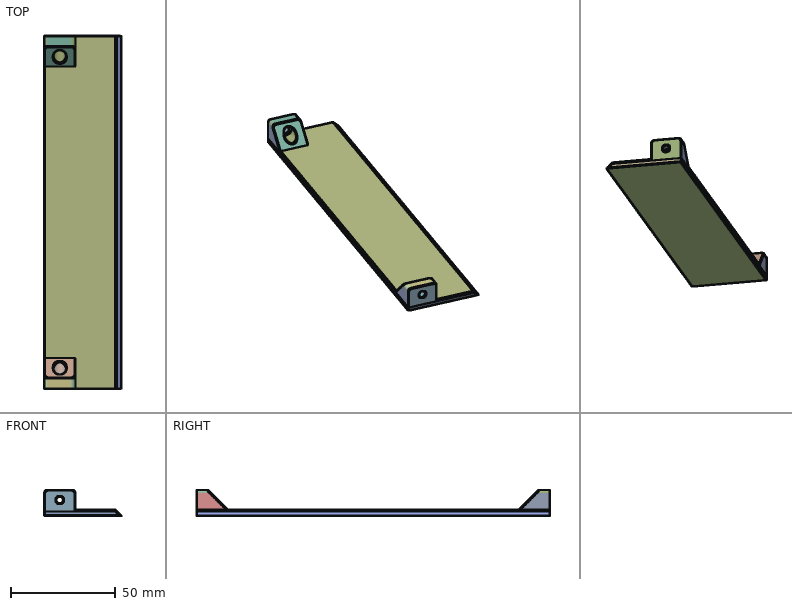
import cadquery as cq

length = 170.0
width = 37.0
height = 12.5

base_top = 2.0
cover_thickness = 0.95
cover_top = base_top + cover_thickness
edge_chamfer = 0.4

block_width = 15.0
block_top_depth = 5.5
block_round = 1.7

screw_diameter = 3.2
head_diameter = 6.0
screw_x = block_width / 2
screw_z = 7.6
head_seat_depth = 5.1

end_y = -length / 2


def bevelled_layer(bottom, top):
    """Full-length layer whose +X side follows the 45 degree slope of the plate."""
    profile = [
        (0, bottom),
        (width - bottom, bottom),
        (width - top, top),
        (0, top),
    ]
    return cq.Workplane("XZ", origin=(0, end_y, 0)).polyline(profile).close().extrude(-length)


def bore(diameter, start, end):
    """Cylinder on the screw axis, between two distances from the end face."""
    plane = cq.Workplane("XZ", origin=(screw_x, end_y + start, screw_z))
    return plane.circle(diameter / 2).extrude(start - end)


def end_block():
    """Block at the -Y end, with a 45 degree inner face and a counterbored screw hole."""
    foot_depth = block_top_depth + height - base_top
    profile = [
        (end_y, base_top),
        (end_y + foot_depth, base_top),
        (end_y + block_top_depth, height),
        (end_y, height),
    ]
    block = cq.Workplane("YZ").polyline(profile).close().extrude(block_width)
    block = block.edges("|Y and >Z").fillet(block_round)

    block = block.cut(bore(screw_diameter, 0, foot_depth))
    block = block.cut(bore(head_diameter, head_seat_depth, foot_depth))

    return block.faces("<Y or >Y").edges("not <Z").chamfer(edge_chamfer)


def build_base():
    """Lower layer, chamfered at both ends and along its lower -X edge."""
    layer = bevelled_layer(0, base_top)
    return layer.edges("(#Y and (not >Z)) or (<X and <Z)").chamfer(edge_chamfer)


def build_cover():
    """Upper layer, chamfered at both ends and along its upper -X edge, with its two blocks."""
    layer = bevelled_layer(base_top, cover_top)
    layer = layer.edges("(#Y and (not <Z)) or (<X and >Z)").chamfer(edge_chamfer)
    block = end_block()
    return layer.union(block).union(block.mirror("XZ")).solids()


base = build_base()
cover = build_cover()

result = cq.Compound.makeCompound([base.val(), cover.val()])